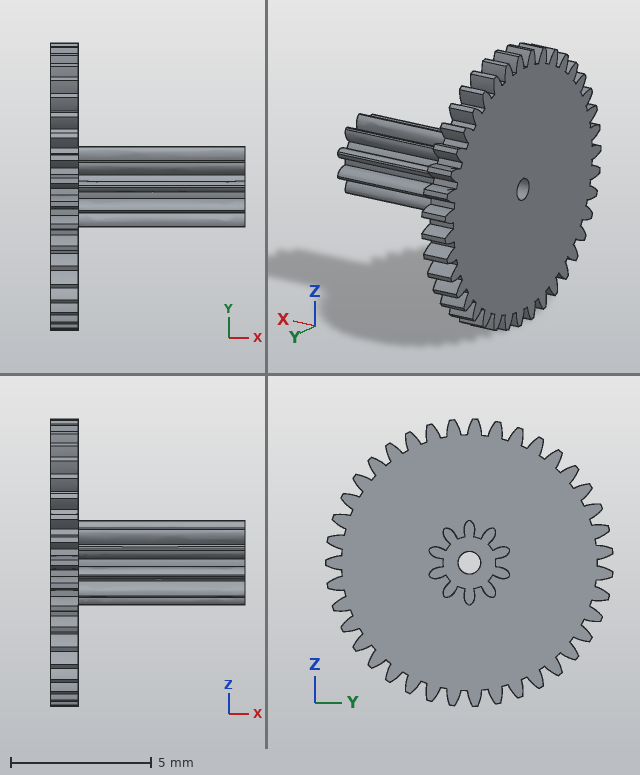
import cadquery as cq
import math

outer_diameter = 10.25
wheel_teeth = 39
pinion_teeth = 10
wheel_width = 0.99
total_length = 6.94
bore_diameter = 0.8

pressure_angle = math.radians(20)
addendum_factor = 1.0
dedendum_factor = 1.25
gear_module = outer_diameter / (wheel_teeth + 2 * addendum_factor)
involute_spans = 4

pinion_root_half_width = 0.15
pinion_belly_radius = 1.13
pinion_belly_half_width = 0.19
pinion_shoulder_radius = 1.34
pinion_shoulder_half_width = 0.169
pinion_tip_half_width = 0.036

wheel_tooth_angle = math.pi
pinion_tooth_angle = math.pi / pinion_teeth


def tip_radius(teeth):
    return gear_module * (teeth / 2 + addendum_factor)


def root_radius(teeth):
    return gear_module * (teeth / 2 - dedendum_factor)


def involute(angle):
    return math.tan(angle) - angle


def wheel_flank():
    """Root-to-tip flank points as (radius, half angle of the tooth there)."""
    base_radius = gear_module * wheel_teeth / 2 * math.cos(pressure_angle)
    base_half_angle = math.pi / (2 * wheel_teeth) + involute(pressure_angle)
    radius_step = (tip_radius(wheel_teeth) - base_radius) / involute_spans

    flank = [(root_radius(wheel_teeth), base_half_angle), (base_radius, base_half_angle)]
    for span in range(1, involute_spans + 1):
        radius = base_radius + span * radius_step
        roll_angle = math.acos(base_radius / radius)
        flank.append((radius, base_half_angle - involute(roll_angle)))
    return flank


def pinion_flank():
    """Root-to-tip flank points as (radius, half angle of the tooth there)."""
    widths = [
        (root_radius(pinion_teeth), pinion_root_half_width),
        (pinion_belly_radius, pinion_belly_half_width),
        (pinion_shoulder_radius, pinion_shoulder_half_width),
        (tip_radius(pinion_teeth), pinion_tip_half_width),
    ]
    return [(radius, math.asin(half_width / radius)) for radius, half_width in widths]


def polar(radius, angle):
    return (radius * math.cos(angle), radius * math.sin(angle))


def gear(teeth, flank, first_tooth_angle, width):
    """Spur gear from X = 0, with smooth flanks between root and tip arcs."""
    tooth_step = 2 * math.pi / teeth
    root, root_half_angle = flank[0]
    tip = flank[-1][0]

    outline = cq.Workplane("YZ").moveTo(*polar(root, first_tooth_angle - root_half_angle))
    for tooth in range(teeth):
        center = first_tooth_angle + tooth * tooth_step
        rising = [polar(radius, center - half_angle) for radius, half_angle in flank]
        falling = [polar(radius, center + half_angle) for radius, half_angle in reversed(flank)]
        gap_center = center + tooth_step / 2
        next_foot = center + tooth_step - root_half_angle
        outline = (
            outline
            .spline(rising[1:], includeCurrent=True)
            .threePointArc(polar(tip, center), falling[0])
            .spline(falling[1:], includeCurrent=True)
            .threePointArc(polar(root, gap_center), polar(root, next_foot))
        )
    return outline.close().extrude(width)


wheel = gear(wheel_teeth, wheel_flank(), wheel_tooth_angle, wheel_width)
pinion = gear(pinion_teeth, pinion_flank(), pinion_tooth_angle, total_length)

bore = cq.Workplane("YZ").circle(bore_diameter / 2).extrude(total_length)

result = wheel.union(pinion).cut(bore)